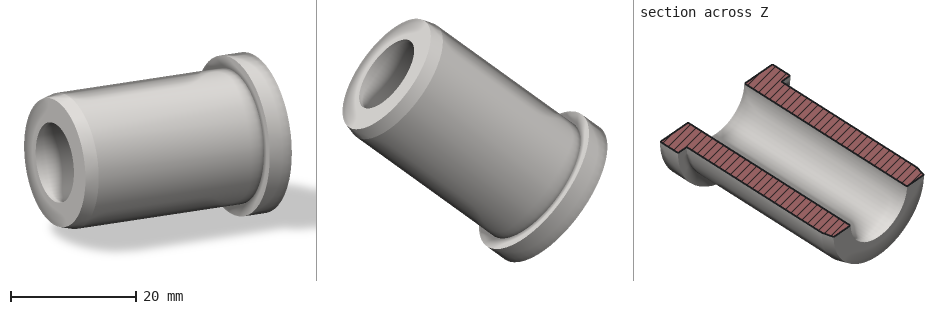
import cadquery as cq
import math

TOTAL_LENGTH = 36.0
HEAD_DIAMETER = 26.0
HEAD_THICKNESS = 4.0
BODY_DIAMETER = 22.0
BORE_DIAMETER = 13.0
TAPER_LENGTH = 2.1
TAPER_ANGLE = 15.0

head_radius = HEAD_DIAMETER / 2
body_radius = BODY_DIAMETER / 2
bore_radius = BORE_DIAMETER / 2
tip_radius = body_radius - TAPER_LENGTH * math.tan(math.radians(TAPER_ANGLE))
shoulder_y = TOTAL_LENGTH - HEAD_THICKNESS


def make_bushing():
    """Revolve the half section of the wall about the Y axis."""
    half_section = (
        cq.Workplane("XY")
        .moveTo(bore_radius, 0)
        .lineTo(tip_radius, 0)
        .lineTo(body_radius, TAPER_LENGTH)
        .lineTo(body_radius, shoulder_y)
        .lineTo(head_radius, shoulder_y)
        .lineTo(head_radius, TOTAL_LENGTH)
        .lineTo(bore_radius, TOTAL_LENGTH)
        .close()
    )
    return half_section.revolve(360, (0, 0, 0), (0, 1, 0))


result = make_bushing()